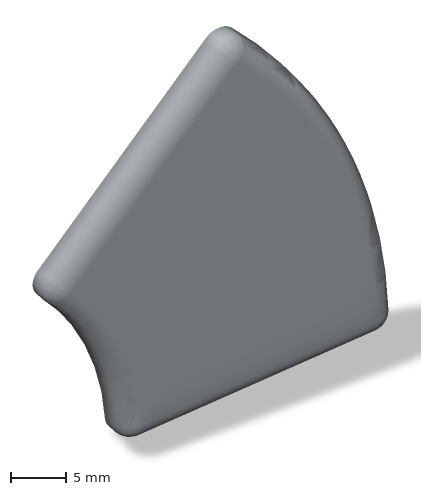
import cadquery as cq
import math

OUTER_RADIUS = 60.0
INNER_RADIUS = 30.0
SECTOR_ANGLE = 45.0
THICKNESS = 3.0
CORNER_RADIUS = 2.0
RIM_CLEARANCE = 0.01
EDGE_ROUND = CORNER_RADIUS - RIM_CLEARANCE


def polar(radius, angle):
    """Point in the YZ plane, measured from +Y towards +Z about the sector centre."""
    radians = math.radians(angle)
    return (radius * math.cos(radians), radius * math.sin(radians))


def sector_plate():
    """Ring sector lying in the YZ plane, thickened along +X, with rounded corners."""
    plate = (
        cq.Workplane("YZ")
        .moveTo(*polar(INNER_RADIUS, 0))
        .lineTo(*polar(OUTER_RADIUS, 0))
        .threePointArc(polar(OUTER_RADIUS, SECTOR_ANGLE / 2), polar(OUTER_RADIUS, SECTOR_ANGLE))
        .lineTo(*polar(INNER_RADIUS, SECTOR_ANGLE))
        .threePointArc(polar(INNER_RADIUS, SECTOR_ANGLE / 2), polar(INNER_RADIUS, 0))
        .close()
        .extrude(THICKNESS)
    )
    return plate.edges("|X").fillet(CORNER_RADIUS)


def round_rim(plate):
    """Round the whole rim of the +X face; the -X face keeps its sharp edge."""
    return plate.faces(">X").edges().fillet(EDGE_ROUND)


result = round_rim(sector_plate())